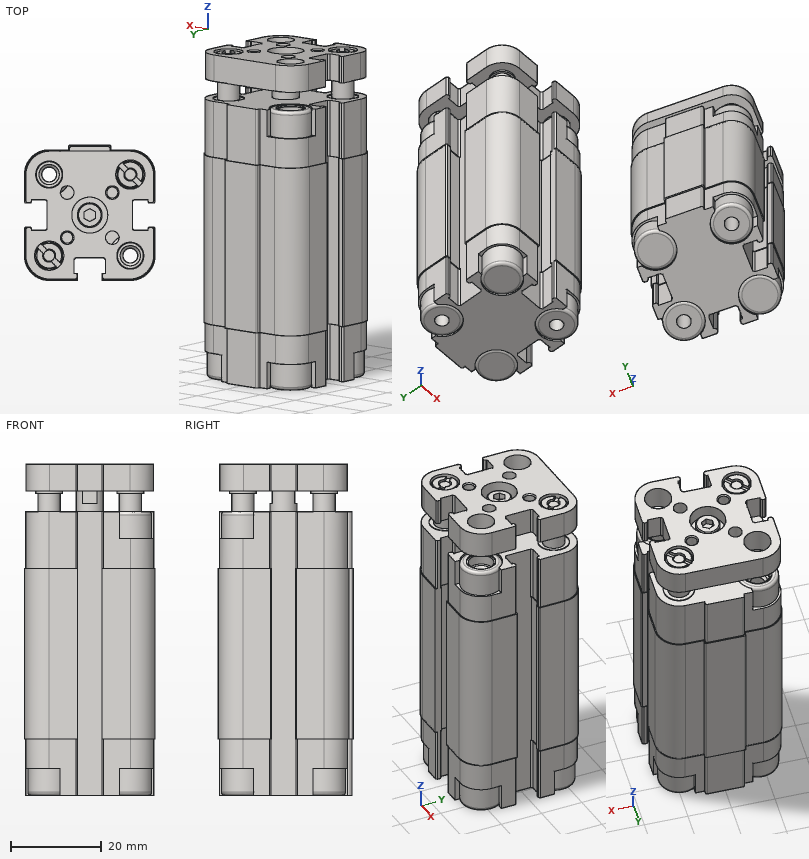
import cadquery as cq

TOTAL_HEIGHT = 73.5
PLATE_THICKNESS = 6.0
PLATE_BOTTOM = TOTAL_HEIGHT - PLATE_THICKNESS
HOUSING_HEIGHT = 63.0
LOWER_CAP_LENGTH = 12.5
UPPER_CAP_LENGTH = 12.6
TUBE_LENGTH = HOUSING_HEIGHT - LOWER_CAP_LENGTH - UPPER_CAP_LENGTH

TUBE_WIDTH = 29.0
CAP_WIDTH = 28.5
PLATE_WIDTH = 28.35
TUBE_CORNER_RADIUS = 5.5
CAP_CORNER_RADIUS = 5.25

TUBE_RIB_WIDTH = 9.4
TUBE_RIB_HEIGHT = 1.0
TUBE_RIB_ROUNDING = 0.25
CAP_RIB_WIDTH = 9.0
CAP_RIB_HEIGHT = 0.95
CAP_RIB_ROUNDING = 0.4

SLOT_FLOOR = 9.5
SLOT_LIP_INNER = 12.9

CAP_SLOT = (6.9, 5.5, 0.35, 0.4)
TUBE_FRONT_SLOT = (7.0, 5.5, 0, 0)
TUBE_SIDE_SLOT = (6.6, 5.3, 0.25, 0)

CORNER_OFFSET = 9.0
HOLE_CORNERS = [(-CORNER_OFFSET, CORNER_OFFSET), (CORNER_OFFSET, -CORNER_OFFSET)]
ROD_CORNERS = [(-CORNER_OFFSET, -CORNER_OFFSET), (CORNER_OFFSET, CORNER_OFFSET)]

COLLAR_DIAMETER = 9.5
COLLAR_HEIGHT = 6.0
COLLAR_ROUNDING = 0.75
RELIEF_START = 6.6

MOUNT_HOLE_DIAMETER = 3.24
MOUNT_CONE_DIAMETER = 4.5
MOUNT_SOCKET_DIAMETER = 5.7
MOUNT_SOCKET_DEPTH = 2.6
MOUNT_RECESS_DIAMETER = 6.5
MOUNT_RECESS_DEPTH = 0.3

GUIDE_ROD_DIAMETER = 5.0
GUIDE_RECESS_DIAMETER = 7.0
GUIDE_RECESS_DEPTH = 0.2
ROD_COLLAR_DIAMETER = 6.0
ROD_COLLAR_HEIGHT = 0.5
PISTON_ROD_DIAMETER = 6.0
WRENCH_FLAT_WIDTH = 5.0
WRENCH_FLAT_LENGTH = 2.7
ROD_INSERTION = UPPER_CAP_LENGTH
ROD_END = HOUSING_HEIGHT - ROD_INSERTION

ACCESS_HOLE_DIAMETER = 6.0
PIN_OFFSET = 5.0
PIN_HOLE_DIAMETER = 3.0
TAPPED_CORE_DIAMETER = 2.46

ROD_SEAT_DIAMETER = 6.5
ROD_SEAT_DEPTH = 0.3
ROD_END_CHAMFER = 0.25
ROD_SOCKET_DIAMETER = 2.9
ROD_POST_DIAMETER = 2.46
ROD_POST_HEIGHT = 0.45
ROD_SLOT_WIDTH = 1.2
ROD_SLOT_DEPTH = 0.8
ROD_SLOT_ANGLE = -45

CENTRE_RECESS_DIAMETER = 8.0
CENTRE_RECESS_DEPTH = 3.5
SCREW_HEAD_DIAMETER = 5.5
SCREW_HEAD_HEIGHT = 2.25
SCREW_HEAD_CHAMFER = 0.25
HEX_ACROSS_FLATS = 2.5
HEX_DEPTH = 1.5


def cylinder(diameter, bottom, top, points=((0, 0),)):
    """Upright cylinders between two heights, one at each (x, y) point."""
    circles = cq.Workplane("XY", origin=(0, 0, bottom)).pushPoints(points).circle(diameter / 2)
    return circles.extrude(top - bottom)


def block(size_x, size_y, bottom, height):
    """Box centred on the Z axis that stands on the height `bottom`."""
    return cq.Workplane("XY", origin=(0, 0, bottom)).rect(size_x, size_y).extrude(height)


def countersink(large_diameter, small_diameter, top, points):
    """45 degree cones that narrow downward from the height `top`."""
    depth = (large_diameter - small_diameter) / 2
    wide = cq.Workplane("XY", origin=(0, 0, top)).pushPoints(points).circle(large_diameter / 2)
    return wide.extrude(-depth, taper=45)


def rounded_block(width, corner_radius, bottom, height):
    return block(width, width, bottom, height).edges("|Z").fillet(corner_radius)


def slot_cutter(slot, outer, bottom, height):
    """Slot with a lipped mouth, open toward -Y at the distance `outer` from the axis."""
    width, opening, lip_bevel, floor_bevel = slot
    half_width = width / 2
    half_opening = opening / 2
    right_side = [
        (half_opening + lip_bevel, -outer),
        (half_opening, -outer + lip_bevel),
        (half_opening, -SLOT_LIP_INNER - lip_bevel),
        (half_opening + lip_bevel, -SLOT_LIP_INNER),
        (half_width, -SLOT_LIP_INNER),
        (half_width, -SLOT_FLOOR - floor_bevel),
        (half_width - floor_bevel, -SLOT_FLOOR),
    ]
    if not lip_bevel:
        right_side = right_side[:1] + right_side[3:]
    if not floor_bevel:
        right_side = right_side[:-1]
    left_side = [(-x, y) for x, y in reversed(right_side)]
    outline = cq.Workplane("XY", origin=(0, 0, bottom)).polyline(right_side + left_side).close()
    return outline.extrude(height)


def cut_slots(body, front_slot, side_slot, width, bottom, height):
    for angle, slot in ((0, front_slot), (-90, side_slot), (90, side_slot)):
        cutter = slot_cutter(slot, width / 2, bottom, height)
        body = body.cut(cutter.rotate((0, 0, 0), (0, 0, 1), angle))
    return body


def housing_section(block_sizes, rib_sizes, front_slot, side_slot, bottom, height):
    """Square length of the housing with a rib on the +Y face and slots in the other three faces."""
    width, corner_radius = block_sizes
    rib_width, rib_height, rib_rounding = rib_sizes
    body = rounded_block(width, corner_radius, bottom, height)
    rib = cq.Workplane("XY").box(rib_width, width / 2 + rib_height, height, centered=(True, False, False))
    rib = rib.edges("|Z and >Y").fillet(rib_rounding)
    body = body.union(rib.translate((0, 0, bottom)))
    return cut_slots(body, front_slot, side_slot, width, bottom, height)


def collar_relief(corner):
    """Removed material that leaves a round collar at a corner, reaching down from z = 0."""
    x, y = corner
    size = TUBE_WIDTH / 2 - RELIEF_START
    middle = RELIEF_START + size / 2
    sign_x = x / CORNER_OFFSET
    sign_y = y / CORNER_OFFSET
    square = block(size, size, -COLLAR_HEIGHT, COLLAR_HEIGHT)
    square = square.translate((sign_x * middle, sign_y * middle, 0))
    collar = cylinder(COLLAR_DIAMETER, -COLLAR_HEIGHT, 0, [corner])
    rim = cylinder(COLLAR_DIAMETER, -COLLAR_ROUNDING, 0, [corner])
    rim = rim.cut(collar.faces(">Z").edges().fillet(COLLAR_ROUNDING))
    return square.cut(collar).union(rim)


def add_collars(body):
    """Collars at the two hole corners on top and at all four corners below."""
    for corner in HOLE_CORNERS:
        body = body.cut(collar_relief(corner).translate((0, 0, HOUSING_HEIGHT)))
    for corner in HOLE_CORNERS + ROD_CORNERS:
        body = body.cut(collar_relief(corner).mirror("XY"))
    return body


def cut_mounting_holes(body):
    recess_floor = HOUSING_HEIGHT - MOUNT_RECESS_DEPTH
    socket_floor = HOUSING_HEIGHT - MOUNT_SOCKET_DEPTH
    body = body.cut(cylinder(MOUNT_HOLE_DIAMETER, 0, HOUSING_HEIGHT, HOLE_CORNERS))
    body = body.cut(cylinder(MOUNT_RECESS_DIAMETER, recess_floor, HOUSING_HEIGHT, HOLE_CORNERS))
    body = body.cut(cylinder(MOUNT_SOCKET_DIAMETER, socket_floor, HOUSING_HEIGHT, HOLE_CORNERS))
    return body.cut(countersink(MOUNT_CONE_DIAMETER, MOUNT_HOLE_DIAMETER, socket_floor, HOLE_CORNERS))


def cut_rod_guides(body):
    guide_floor = HOUSING_HEIGHT - GUIDE_RECESS_DEPTH
    body = body.cut(cylinder(GUIDE_RECESS_DIAMETER, guide_floor, HOUSING_HEIGHT, ROD_CORNERS))
    body = body.cut(cylinder(GUIDE_ROD_DIAMETER, ROD_END, HOUSING_HEIGHT, ROD_CORNERS))
    return body.cut(cylinder(PISTON_ROD_DIAMETER, ROD_END, HOUSING_HEIGHT))


def make_housing():
    tube_sizes = (
        (TUBE_WIDTH, TUBE_CORNER_RADIUS),
        (TUBE_RIB_WIDTH, TUBE_RIB_HEIGHT, TUBE_RIB_ROUNDING),
        TUBE_FRONT_SLOT,
        TUBE_SIDE_SLOT,
    )
    cap_sizes = (
        (CAP_WIDTH, CAP_CORNER_RADIUS),
        (CAP_RIB_WIDTH, CAP_RIB_HEIGHT, CAP_RIB_ROUNDING),
        CAP_SLOT,
        CAP_SLOT,
    )
    body = housing_section(*tube_sizes, LOWER_CAP_LENGTH, TUBE_LENGTH)
    body = body.union(housing_section(*cap_sizes, 0, LOWER_CAP_LENGTH))
    upper_cap_bottom = HOUSING_HEIGHT - UPPER_CAP_LENGTH
    body = body.union(housing_section(*cap_sizes, upper_cap_bottom, UPPER_CAP_LENGTH))
    body = add_collars(body)
    body = cut_mounting_holes(body)
    return cut_rod_guides(body)


def make_plate():
    """Slotted plate with its access holes, pin holes and countersunk tapped holes."""
    plate = rounded_block(PLATE_WIDTH, CAP_CORNER_RADIUS, PLATE_BOTTOM, PLATE_THICKNESS)
    plate = cut_slots(plate, CAP_SLOT, CAP_SLOT, PLATE_WIDTH, PLATE_BOTTOM, PLATE_THICKNESS)
    plate = plate.cut(cylinder(ACCESS_HOLE_DIAMETER, PLATE_BOTTOM, TOTAL_HEIGHT, HOLE_CORNERS))

    pin_holes = [(-PIN_OFFSET, PIN_OFFSET), (PIN_OFFSET, -PIN_OFFSET)]
    tapped_holes = [(-PIN_OFFSET, -PIN_OFFSET), (PIN_OFFSET, PIN_OFFSET)]
    plate = plate.cut(cylinder(PIN_HOLE_DIAMETER, PLATE_BOTTOM, TOTAL_HEIGHT, pin_holes))
    plate = plate.cut(cylinder(TAPPED_CORE_DIAMETER, PLATE_BOTTOM, TOTAL_HEIGHT, tapped_holes))
    return plate.cut(countersink(PIN_HOLE_DIAMETER, TAPPED_CORE_DIAMETER, TOTAL_HEIGHT, tapped_holes))


def add_rod_ends(plate):
    """Slotted, chamfered rod ends seated just below the top of the plate."""
    seat_floor = TOTAL_HEIGHT - ROD_SEAT_DEPTH
    slot_floor = seat_floor - ROD_SLOT_DEPTH
    post_top = slot_floor + ROD_POST_HEIGHT
    plate = plate.cut(cylinder(ROD_SEAT_DIAMETER, slot_floor, TOTAL_HEIGHT, ROD_CORNERS))
    ends = cylinder(ROD_COLLAR_DIAMETER, slot_floor, seat_floor, ROD_CORNERS)
    plate = plate.union(ends.faces(">Z").edges().chamfer(ROD_END_CHAMFER))
    slot = block(ROD_COLLAR_DIAMETER, ROD_SLOT_WIDTH, slot_floor, ROD_SLOT_DEPTH)
    slot = slot.rotate((0, 0, 0), (0, 0, 1), ROD_SLOT_ANGLE)
    for x, y in ROD_CORNERS:
        plate = plate.cut(slot.translate((x, y, 0)))
    plate = plate.cut(cylinder(ROD_SOCKET_DIAMETER, slot_floor, seat_floor, ROD_CORNERS))
    return plate.union(cylinder(ROD_POST_DIAMETER, slot_floor, post_top, ROD_CORNERS))


def add_centre_screw(plate):
    """Chamfered socket head in the recess at the middle of the plate."""
    recess_floor = TOTAL_HEIGHT - CENTRE_RECESS_DEPTH
    head_top = recess_floor + SCREW_HEAD_HEIGHT
    plate = plate.cut(cylinder(CENTRE_RECESS_DIAMETER, recess_floor, TOTAL_HEIGHT))
    head = cylinder(SCREW_HEAD_DIAMETER, recess_floor, head_top)
    plate = plate.union(head.faces(">Z").edges().chamfer(SCREW_HEAD_CHAMFER))
    hexagon = cq.Workplane("XY", origin=(0, 0, head_top)).polygon(6, HEX_ACROSS_FLATS, circumscribed=True)
    return plate.cut(hexagon.extrude(-HEX_DEPTH))


def make_piston_rod():
    """Round rod with two wrench flats, facing -Y and +Y, below the plate."""
    flats_bottom = PLATE_BOTTOM - WRENCH_FLAT_LENGTH
    lower = cylinder(PISTON_ROD_DIAMETER, ROD_END, flats_bottom)
    upper = cylinder(PISTON_ROD_DIAMETER, flats_bottom, PLATE_BOTTOM)
    flats = block(PISTON_ROD_DIAMETER, WRENCH_FLAT_WIDTH, flats_bottom, WRENCH_FLAT_LENGTH)
    return lower.union(upper.intersect(flats))


def make_yoke():
    """Plate, piston rod and guide rods that move together."""
    yoke = add_centre_screw(add_rod_ends(make_plate()))
    collar_bottom = PLATE_BOTTOM - ROD_COLLAR_HEIGHT
    yoke = yoke.union(make_piston_rod())
    yoke = yoke.union(cylinder(GUIDE_ROD_DIAMETER, ROD_END, PLATE_BOTTOM, ROD_CORNERS))
    return yoke.union(cylinder(ROD_COLLAR_DIAMETER, collar_bottom, PLATE_BOTTOM, ROD_CORNERS))


housing = make_housing()
yoke = make_yoke()
result = cq.Compound.makeCompound([housing.val(), yoke.val()])